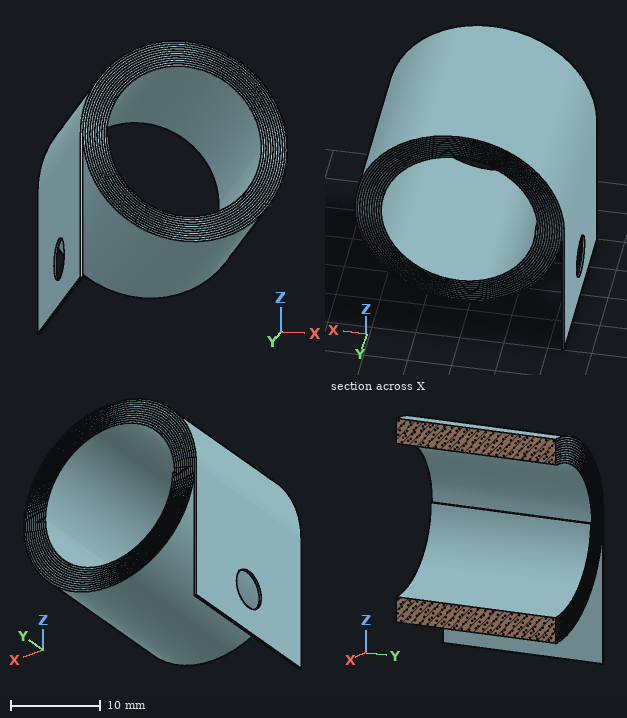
import cadquery as cq

outer_radius = 11.9
strip_width = 20.0
strip_thickness = 0.27
turn_pitch = 0.272
turn_count = 11
tail_length = 17.0
hole_diameter = 4.7
hole_height = 5.5

half_turn_count = 2 * turn_count
radius_step = turn_pitch / 2


def half_turn(index, inset):
    """Centre X, radius and side (+1 above, -1 below) of one face of a half turn."""
    above = index % 2 == 0
    center_x = 0 if above else radius_step
    radius = outer_radius - index * radius_step - inset
    return center_x, radius, 1 if above else -1


def add_inward_arc(sketch, index):
    """Outer face of a half turn, followed toward the inner end of the strip."""
    center_x, radius, side = half_turn(index, 0)
    return sketch.threePointArc((center_x, side * radius), (center_x + side * radius, 0))


def add_outward_arc(sketch, index):
    """Inner face of a half turn, followed back toward the tail."""
    center_x, radius, side = half_turn(index, strip_thickness)
    return sketch.threePointArc((center_x, side * radius), (center_x - side * radius, 0))


def make_strip():
    """Coil and tail as one outline, extruded across the strip width."""
    outline = cq.Workplane("XZ").moveTo(-outer_radius, -tail_length).lineTo(-outer_radius, 0)
    for index in range(half_turn_count):
        outline = add_inward_arc(outline, index)

    center_x, radius, side = half_turn(half_turn_count - 1, strip_thickness)
    outline = outline.lineTo(center_x + side * radius, 0)

    for index in reversed(range(half_turn_count)):
        outline = add_outward_arc(outline, index)
    outline = outline.lineTo(-outer_radius + strip_thickness, -tail_length).close()
    return outline.extrude(strip_width / 2, both=True)


def make_tail_hole():
    """Cutter that passes through the tail only, starting at its outer face."""
    hole_plane = cq.Workplane("YZ", origin=(-outer_radius, 0, hole_height - tail_length))
    return hole_plane.circle(hole_diameter / 2).extrude(strip_thickness)


result = make_strip().cut(make_tail_hole())